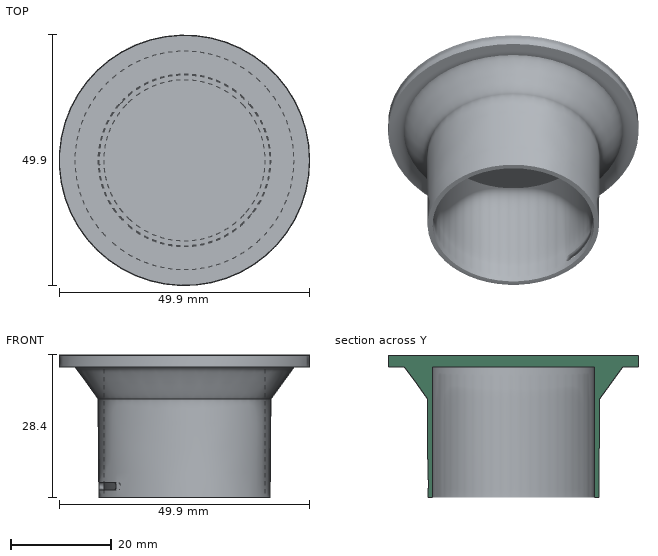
import cadquery as cq
import math

disc_radius = 24.95
total_height = 28.4
disc_thickness = 2.4
flare_top_radius = 21.8
flare_bottom_height = 19.65
sleeve_top_radius = 17.2
sleeve_bottom_radius = 17.05
wall = 1.0

slot_height = 1.55
slot_bottom = 1.5
slot_start_angle = 183.0
slot_end_angle = 217.3

disc_bottom = total_height - disc_thickness
bore_radius = sleeve_bottom_radius - wall


def make_body():
    """Revolve the outer outline, then bore the sleeve up to the disc."""
    outline = [
        (0, 0),
        (sleeve_bottom_radius, 0),
        (sleeve_top_radius, flare_bottom_height),
        (flare_top_radius, disc_bottom),
        (disc_radius, disc_bottom),
        (disc_radius, total_height),
        (0, total_height),
    ]
    body = cq.Workplane("XZ").polyline(outline).close().revolve(360, (0, 0), (0, 1))
    bore = cq.Workplane("XY").circle(bore_radius).extrude(disc_bottom)
    return body.cut(bore)


def make_slot():
    """Ring sector crossing the wall, with a round radial hole at each end."""
    end_radius = slot_height / 2
    slot_middle = slot_bottom + end_radius
    inner_radius = bore_radius - wall
    outer_radius = sleeve_top_radius + wall
    cut_depth = outer_radius - inner_radius
    end_angle_inset = math.degrees(end_radius / sleeve_bottom_radius)
    first_angle = slot_start_angle + end_angle_inset
    last_angle = slot_end_angle - end_angle_inset

    slot = (
        cq.Workplane("XZ")
        .moveTo((inner_radius + outer_radius) / 2, slot_middle)
        .rect(cut_depth, slot_height)
        .revolve(last_angle - first_angle, (0, 0), (0, 1))
        .rotate((0, 0, 0), (0, 0, 1), first_angle)
    )
    for angle in (first_angle, last_angle):
        round_end = (
            cq.Workplane("YZ", origin=(inner_radius, 0, slot_middle))
            .circle(end_radius)
            .extrude(cut_depth)
            .rotate((0, 0, 0), (0, 0, 1), angle)
        )
        slot = slot.union(round_end)
    return slot


result = make_body().cut(make_slot())